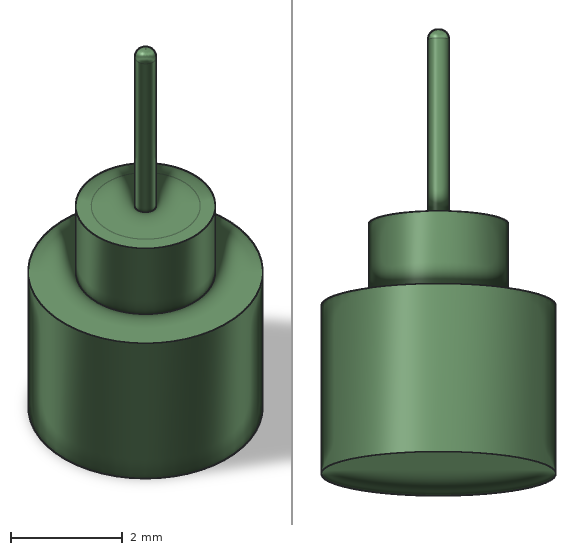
import cadquery as cq

total_height = 8.1
body_diameter = 4.2
body_height = 3.06
collar_diameter = 2.5
collar_top = 4.55
insulator_diameter = 1.95
pin_diameter = 0.39
tip_height = 0.19


def cylinder(diameter, bottom, top):
    """Upright cylinder on the Z axis between two heights."""
    return cq.Workplane("XY").workplane(offset=bottom).circle(diameter / 2).extrude(top - bottom)


body = cylinder(body_diameter, 0, body_height)
collar = cylinder(collar_diameter, body_height, collar_top)
insulator = cylinder(insulator_diameter, body_height, collar_top)
shell = body.union(collar).cut(insulator)

pin = cylinder(pin_diameter, collar_top, total_height).faces(">Z").edges().fillet(tip_height)

result = shell.union(insulator, clean=False).union(pin, clean=False)